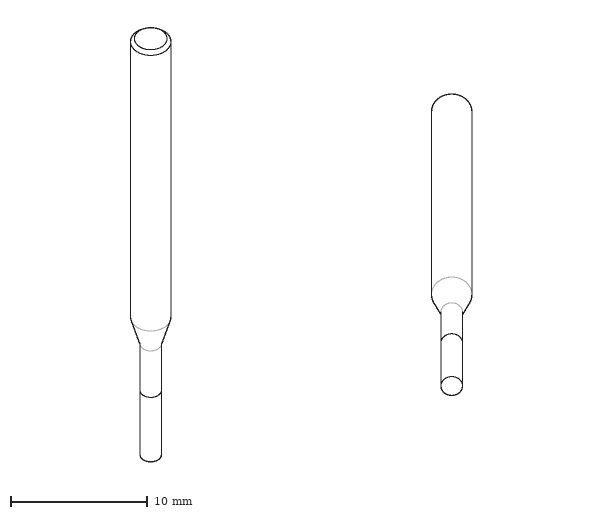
import cadquery as cq
import math

overall_length = 42.0
cutter_length = 6.75
neck_length = 4.65
taper_length = 2.65

shank_diameter = 3.0
neck_diameter = 1.6
cutter_diameter = 1.6
end_chamfer = 0.3
point_angle = 140.0

shank_radius = shank_diameter / 2
neck_radius = neck_diameter / 2
cutter_radius = cutter_diameter / 2
neck_top = cutter_length + neck_length
taper_top = neck_top + taper_length
point_height = cutter_radius / math.tan(math.radians(point_angle / 2))


def make_shank():
    """Round shank with a chamfered end, tapering down to a slim neck."""
    return (
        cq.Workplane("YZ")
        .moveTo(0, cutter_length)
        .lineTo(-neck_radius, cutter_length)
        .lineTo(-neck_radius, neck_top)
        .lineTo(-shank_radius, taper_top)
        .lineTo(-shank_radius, overall_length - end_chamfer)
        .lineTo(-shank_radius + end_chamfer, overall_length)
        .lineTo(0, overall_length)
        .close()
        .revolve(360, (0, 0, 0), (0, 1, 0))
    )


def make_cutter():
    """Cylindrical cutting end with a shallow conical point at the origin."""
    return (
        cq.Workplane("XZ")
        .moveTo(0, 0)
        .lineTo(-cutter_radius, point_height)
        .lineTo(-cutter_radius, cutter_length)
        .lineTo(0, cutter_length)
        .close()
        .revolve(360, (0, 0, 0), (0, 1, 0))
    )


shank = make_shank()
cutter = make_cutter()

result = cq.Compound.makeCompound([shank.val(), cutter.val()])